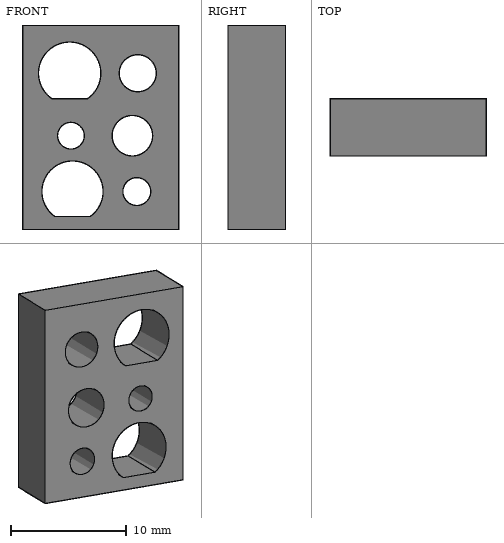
import cadquery as cq

WIDTH = 13.58
THICKNESS = 5.0
HEIGHT = 17.76

TOP_ROW_Z = 4.71
MIDDLE_ROW_Z = -0.72
BOTTOM_ROW_Z = -5.575

ROUND_HOLES = [
    (3.215, TOP_ROW_Z, 3.2),
    (-2.59, MIDDLE_ROW_Z, 2.3),
    (2.75, MIDDLE_ROW_Z, 3.5),
    (3.135, BOTTOM_ROW_Z, 2.4),
]

FLAT_DEPTH = 0.5

D_HOLES = [
    (-2.7, TOP_ROW_Z, 5.4),
    (-2.455, BOTTOM_ROW_Z, 5.3),
]


def round_cutter(x, z, diameter):
    """Cylinder along Y, as long as the block is thick."""
    return (
        cq.Workplane("XZ", origin=(x, 0, z))
        .circle(diameter / 2)
        .extrude(THICKNESS / 2, both=True)
    )


def d_cutter(x, z, diameter):
    """Cylinder along Y with its underside cut to a horizontal flat."""
    kept_height = diameter - FLAT_DEPTH
    kept_centre_z = z + FLAT_DEPTH / 2
    kept_region = cq.Workplane("XY", origin=(x, 0, kept_centre_z)).box(diameter, THICKNESS, kept_height)
    return round_cutter(x, z, diameter).intersect(kept_region)


result = cq.Workplane("XY").box(WIDTH, THICKNESS, HEIGHT)

for hole in ROUND_HOLES:
    result = result.cut(round_cutter(*hole))

for hole in D_HOLES:
    result = result.cut(d_cutter(*hole))